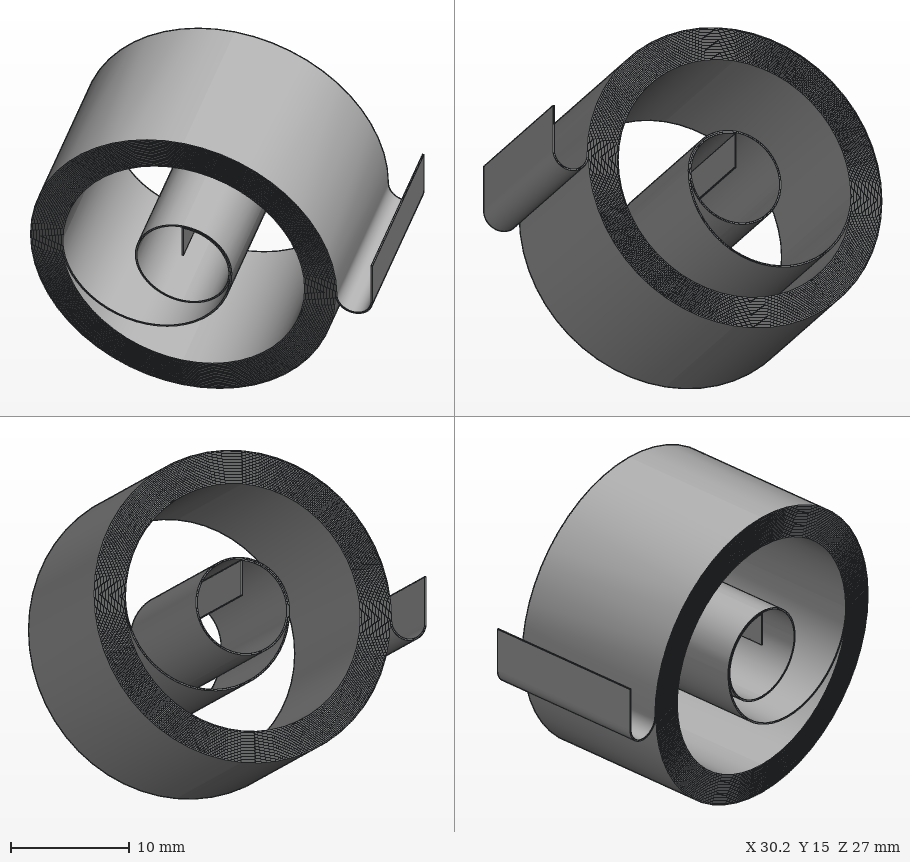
import cadquery as cq
import math

overall_length = 30.15
strip_width = 15.0
pitch = 0.13
gap = 0.0015
thickness = pitch - gap

hub_radius = 4.0
hub_quarters = 5
tongue_length = 3.0

lead_radius = 7.38
ring_radius = 10.65
ring_turns = 21.5

tab_height = 4.0

QUARTER = math.pi / 2
CLOCKWISE = -1
COUNTERCLOCKWISE = 1


def polar(center, radius, angle):
    return (center[0] + radius * math.cos(angle), center[1] + radius * math.sin(angle))


def wind(center, radius, start_angle, quarters, growth=0.0):
    """Clockwise run of tangent quarter arcs whose inside radius grows by `growth` per quarter.

    Left and right are meant as seen when following the strip from its inner end.
    Returns the arcs as (center, left edge radius, right edge radius, start angle, turn)
    and the point where the right edge of the strip ends.
    """
    arcs = []
    angle = start_angle
    for _ in range(quarters):
        arcs.append((center, radius + thickness, radius, angle, CLOCKWISE))
        angle -= QUARTER
        end = polar(center, radius, angle)
        radius += growth
        center = polar(end, -radius, angle)
    return arcs, end


spiral_growth = pitch / 4
hub_arcs, hub_end = wind((0, 0), hub_radius, QUARTER, hub_quarters, spiral_growth)

lead_center = (hub_end[0] - lead_radius, hub_end[1])
lead_arcs, lead_end = wind(lead_center, lead_radius, 0, 2)

ring_center = (lead_end[0] + ring_radius, lead_end[1])
ring_quarters = round(4 * ring_turns)
ring_arcs, ring_end = wind(ring_center, ring_radius, math.pi, ring_quarters, spiral_growth)

ring_left_side = lead_end[0] - (ring_turns - 0.5) * pitch - thickness
tab_outside = ring_left_side + overall_length
tab_inside = tab_outside - thickness
hook_radius = (tab_inside - ring_end[0] - thickness) / 2

hook_center = (ring_end[0] + thickness + hook_radius, ring_end[1])
hook_arcs = [
    (hook_center, hook_radius, hook_radius + thickness, math.pi + i * QUARTER, COUNTERCLOCKWISE)
    for i in range(2)
]

arcs = hub_arcs + lead_arcs + ring_arcs + hook_arcs


def draw_arc(outline, center, radius, start_angle, sweep):
    middle = polar(center, radius, start_angle + sweep / 2)
    end = polar(center, radius, start_angle + sweep)
    return outline.threePointArc(middle, end)


tongue_tip = hub_radius - tongue_length
tab_top = hook_center[1] + tab_height

outline = (
    cq.Workplane("XZ")
    .moveTo(0, tongue_tip)
    .lineTo(-thickness, tongue_tip)
    .lineTo(-thickness, hub_radius)
    .lineTo(0, hub_radius + thickness)
)
for center, left_radius, _, start_angle, turn in arcs:
    outline = draw_arc(outline, center, left_radius, start_angle, turn * QUARTER)
outline = (
    outline.lineTo(tab_inside, tab_top)
    .lineTo(tab_outside, tab_top)
    .lineTo(tab_outside, hook_center[1])
)
for center, _, right_radius, start_angle, turn in reversed(arcs):
    outline = draw_arc(outline, center, right_radius, start_angle + turn * QUARTER, -turn * QUARTER)

result = outline.close().extrude(strip_width / 2, both=True)